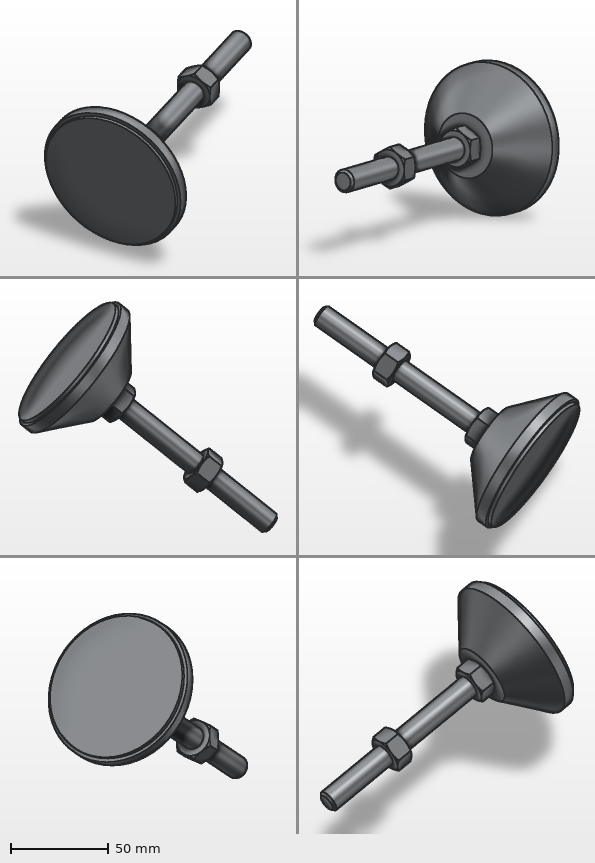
import cadquery as cq
import math

total_length = 138.0
base_diameter = 80.0
pad_diameter = 76.2
pad_height = 2.1
rim_height = 6.0
cone_height = 20.7
cone_top_diameter = 34.0
stud_diameter = 12.0
stud_chamfer = 1.4
nut_across_flats = 19.0
lower_nut_height = 9.2
lock_nut_height = 10.0
lock_nut_start = 87.1
nut_chamfer_angle = 30.0

rim_top = pad_height + rim_height
cone_top = rim_top + cone_height
nut_across_corners = nut_across_flats / math.cos(math.radians(30))


def revolve_about_y(points):
    """Revolve a closed (radius, Y) outline around the Y axis."""
    return cq.Workplane("XY").polyline(points).close().revolve(360, (0, 0), (0, 1))


def make_foot():
    """Pad, cylindrical rim and conical top."""
    return revolve_about_y([
        (0, 0),
        (pad_diameter / 2, 0),
        (pad_diameter / 2, pad_height),
        (base_diameter / 2, pad_height),
        (base_diameter / 2, rim_top),
        (cone_top_diameter / 2, cone_top),
        (0, cone_top),
    ])


def make_stud():
    """Plain stud with a chamfered free end."""
    radius = stud_diameter / 2
    return revolve_about_y([
        (0, rim_top),
        (radius, rim_top),
        (radius, total_length - stud_chamfer),
        (radius - stud_chamfer, total_length),
        (0, total_length),
    ])


def make_nut(start, height):
    """Hexagonal nut with flats facing X and corners chamfered at both ends."""
    hexagon = (
        cq.Workplane("XZ", origin=(0, start, 0))
        .transformed(rotate=(0, 0, 90))
        .polygon(6, nut_across_corners)
        .extrude(-height)
    )
    face_radius = nut_across_flats / 2
    corner_radius = nut_across_corners / 2
    drop = (corner_radius - face_radius) * math.tan(math.radians(nut_chamfer_angle))
    envelope = revolve_about_y([
        (0, start),
        (face_radius, start),
        (corner_radius, start + drop),
        (corner_radius, start + height - drop),
        (face_radius, start + height),
        (0, start + height),
    ])
    return hexagon.intersect(envelope)


result = (
    make_foot()
    .union(make_stud())
    .union(make_nut(cone_top, lower_nut_height))
    .union(make_nut(lock_nut_start, lock_nut_height))
)